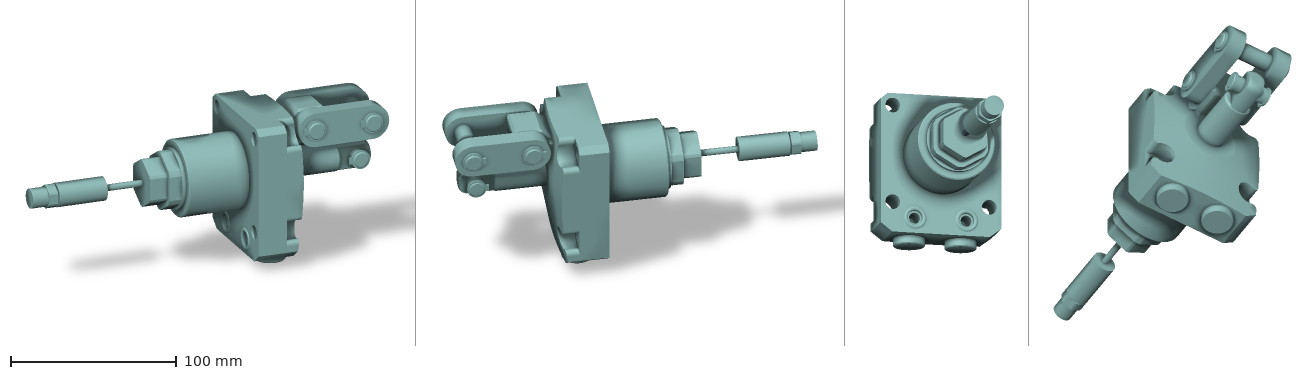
import cadquery as cq
import math


block_width = 75.0
half_width = block_width / 2
block_top = 37.5
block_bottom = -48.5
top_chamfer_x, top_chamfer_z = 4.3, 3.5
bottom_chamfer_x, bottom_chamfer_z = 7.2, 5.5
crown_y = 33.2
crown_radius = 18.0
crown_angle = 11.0

hole_pitch = 60.0
hole_radius = 4.5
pocket_floor_y = 18.5
pocket_radius = 7.2
pocket_mouth_radius = 3.0

port_x = 16.0
port_z = -39.0
seal_radius = 7.0
seal_height = 0.7
port_counterbore_radius = 4.5
port_counterbore_depth = 1.8
port_bore_radius = 3.4
port_depth = 15.8
plug_radius = 9.7
plug_bottom = -53.5
plug_chamfer = 0.7

barrel_radius = 24.0
barrel_end_y = -39.5
barrel_chamfer = 0.7

flange_radius = 19.2
flange_end_y = -42.0
large_hex_flats, large_hex_corner_radius, large_hex_end_y = 33.9, 18.5, -49.7
small_hex_flats, small_hex_corner_radius, small_hex_end_y = 27.0, 15.1, -61.2
cable_radius = 2.0
plug_body_radius, plug_body_y, plug_body_end_y = 7.5, -86.0, -117.1
neck_radius, neck_end_y = 4.7, -118.0
plug_hex_flats, plug_hex_corner_radius, plug_hex_end_y = 13.5, 7.5, -124.0
tip_radius, tip_end_y = 6.0, -134.0

link_pin_radius = 5.5
rod_pin_radius = 5.0
pin_chamfer = 0.7
link_pin_overhang = 2.7
rod_pin_overhang = 2.0
ring_thickness = 1.4
ring_rim = 1.0
ring_lug_rim = 2.5
ring_lug_width = 4.0

link_inner = 11.0
link_outer = 21.0
link_radius = 10.8
link_z = block_top - link_radius
link_front_y = 80.8
link_rear_y = 43.8

lug_half_width = 10.8
lug_front_y = 54.2
lug_bottom = 13.3
lug_chamfer = 1.5
lug_bottom_chamfer = 2.3
lug_root_radius = 2.0
lug_flare_radius = 4.3
link_clearance = 0.5
lug_slope_y = 37.2
lug_slope_end_y, lug_slope_end_z = 29.0, 29.3

rod_radius = 9.3
rod_bottom_y = 0.0
rod_shoulder_y = 65.0
rod_shoulder_chamfer = 1.1
tongue_radius = 8.8
tongue_thickness = 10.4
tongue_end_y = 86.2
tongue_end_fillet = 5.0
rod_pin_y = 76.7
rod_pin_seat = 11.0


def cylinder_y(radius, y_start, y_end, x=0, z=0):
    """Cylinder along Y between two Y positions."""
    plane = cq.Workplane("XZ", origin=(x, y_start, z))
    return plane.circle(radius).extrude(y_start - y_end)


def hexagon_y(across_flats, corner_radius, y_start, y_end):
    """Hexagonal prism along Y with flats at +X and -X and rounded-off corners."""
    across_corners = across_flats / math.cos(math.pi / 6)
    prism = (
        cq.Workplane("XZ", origin=(0, y_start, 0))
        .transformed(rotate=(0, 0, 90))
        .polygon(6, across_corners)
        .extrude(y_start - y_end)
    )
    return prism.intersect(cylinder_y(corner_radius, y_start, y_end))


def retained_pin(y, z, radius, seat, overhang):
    """Pin along X with a retaining ring outside each seat at x = -seat and x = +seat."""
    half_length = seat + overhang
    ring_lug_reach = radius + ring_lug_rim
    pin = (
        cq.Workplane("YZ", origin=(-half_length, y, z))
        .circle(radius)
        .extrude(2 * half_length)
        .faces("<X or >X")
        .chamfer(pin_chamfer)
    )
    for ring_start in (-seat - ring_thickness, seat):
        plane = cq.Workplane("YZ", origin=(ring_start, y, z))
        ring = plane.circle(radius + ring_rim).extrude(ring_thickness)
        ring_lug = (
            plane.center(-ring_lug_reach / 2, 0)
            .rect(ring_lug_reach, ring_lug_width)
            .extrude(ring_thickness)
        )
        pin = pin.union(ring).union(ring_lug)
    return pin


def block_body():
    """Chamfered block whose back is a flat crown falling away as a cone."""
    right_half = [
        (half_width - top_chamfer_x, block_top),
        (half_width, block_top - top_chamfer_z),
        (half_width, block_bottom + bottom_chamfer_z),
        (half_width - bottom_chamfer_x, block_bottom),
    ]
    left_half = [(-x, z) for x, z in reversed(right_half)]
    prism = cq.Workplane("XZ").polyline(right_half + left_half).close().extrude(-crown_y)
    cone_base_radius = crown_radius + crown_y / math.tan(math.radians(crown_angle))
    cone = (
        cq.Workplane("XY")
        .polyline([(0, 0), (cone_base_radius, 0), (crown_radius, crown_y), (0, crown_y)])
        .close()
        .revolve(360, (0, 0), (0, 1))
    )
    return prism.intersect(cone)


def pocket_opening(x, z, angle):
    """Round pocket around a hole that opens through one side with rounded mouth edges."""
    side = half_width - hole_pitch / 2
    mouth = math.sqrt((pocket_radius + pocket_mouth_radius) ** 2 - (side - pocket_mouth_radius) ** 2)
    share = pocket_radius / (pocket_radius + pocket_mouth_radius)
    joint_x = (side - pocket_mouth_radius) * share
    joint_y = mouth * share
    mid_angle = (math.atan2(joint_y - mouth, joint_x - side + pocket_mouth_radius)) / 2
    mid_x = side - pocket_mouth_radius + pocket_mouth_radius * math.cos(mid_angle)
    mid_y = mouth + pocket_mouth_radius * math.sin(mid_angle)
    return (
        cq.Workplane("XZ", origin=(x, pocket_floor_y, z))
        .transformed(rotate=(0, 0, angle))
        .moveTo(joint_x, joint_y)
        .threePointArc((mid_x, mid_y), (side, mouth))
        .lineTo(2 * side, mouth)
        .lineTo(2 * side, -mouth)
        .lineTo(side, -mouth)
        .threePointArc((mid_x, -mid_y), (joint_x, -joint_y))
        .threePointArc((-pocket_radius, 0), (joint_x, joint_y))
        .close()
        .extrude(pocket_floor_y - crown_y)
    )


def mounting_cuts():
    """Four through holes, each with a screw-head pocket open to the outside."""
    offset = hole_pitch / 2
    cuts = []
    for side in (-1, 1):
        outward = 0 if side > 0 else 180
        for level in (-1, 1):
            x, z = side * offset, level * offset
            cuts.append(cylinder_y(hole_radius, 0, crown_y, x, z))
            cuts.append(pocket_opening(x, z, outward))
        cuts.append(pocket_opening(side * offset, offset, 90))
        corner = cq.Workplane("XZ", origin=(side * offset, pocket_floor_y, offset))
        corner_block = corner.rect(side * offset, offset, centered=False).extrude(pocket_floor_y - crown_y)
        cuts.append(corner_block)
    return cuts


def lug_flare():
    """Concave flare at both sides of the lug, relieved for the turning link plates."""
    flare_half_width = lug_half_width + lug_flare_radius
    flare_top_y = crown_y + lug_flare_radius
    flare = (
        cq.Workplane("XY", origin=(0, 0, lug_bottom + lug_bottom_chamfer))
        .moveTo(-flare_half_width, pocket_floor_y)
        .lineTo(-flare_half_width, crown_y)
        .radiusArc((-lug_half_width, flare_top_y), -lug_flare_radius)
        .lineTo(lug_half_width, flare_top_y)
        .radiusArc((flare_half_width, crown_y), -lug_flare_radius)
        .lineTo(flare_half_width, pocket_floor_y)
        .close()
        .extrude(lug_slope_end_z - lug_bottom - lug_bottom_chamfer)
    )
    relief = (
        cq.Workplane("YZ", origin=(-link_outer, link_rear_y, link_z))
        .circle(link_radius + link_clearance)
        .extrude(2 * link_outer)
    )
    return flare.cut(relief)


def hinge_lug():
    """Chamfered lug between the link plates, sloping down into the block."""
    foot_y = pocket_floor_y
    lug = (
        cq.Workplane("YZ", origin=(-lug_half_width, 0, 0))
        .moveTo(foot_y, lug_bottom - lug_root_radius)
        .lineTo(crown_y, lug_bottom - lug_root_radius)
        .radiusArc((crown_y + lug_root_radius, lug_bottom), lug_root_radius)
        .lineTo(lug_front_y, lug_bottom)
        .lineTo(lug_front_y, block_top)
        .lineTo(lug_slope_y, block_top)
        .lineTo(lug_slope_end_y, lug_slope_end_z)
        .lineTo(foot_y, lug_slope_end_z)
        .close()
        .extrude(2 * lug_half_width)
        .faces(">Y")
        .chamfer(lug_chamfer)
    )
    long_top_edges = cq.selectors.BoxSelector(
        (-2 * lug_half_width, lug_slope_y + lug_chamfer, block_top - lug_chamfer / 2),
        (2 * lug_half_width, lug_front_y - 2 * lug_chamfer, block_top + lug_chamfer / 2),
    )
    lug = lug.edges(long_top_edges).edges("|Y").chamfer(lug_chamfer)
    long_bottom_edges = cq.selectors.BoxSelector(
        (-2 * lug_half_width, crown_y + lug_root_radius, lug_bottom - lug_root_radius / 2),
        (2 * lug_half_width, lug_front_y - 2 * lug_chamfer, lug_bottom + lug_chamfer / 2),
    )
    lug = lug.edges(long_bottom_edges).edges("|Y").chamfer(lug_bottom_chamfer).union(lug_flare())
    hinge_hole = (
        cq.Workplane("YZ", origin=(-lug_half_width, link_rear_y, link_z))
        .circle(link_pin_radius)
        .extrude(2 * lug_half_width)
    )
    return lug.cut(hinge_hole)


def port_seal(x):
    """Half-round seal bead around a port."""
    bead_width = seal_radius - port_counterbore_radius
    return (
        cq.Workplane("XY", origin=(x, 0, port_z))
        .moveTo(port_counterbore_radius, 0)
        .threePointArc((port_counterbore_radius + bead_width / 2, -seal_height), (seal_radius, 0))
        .close()
        .revolve(360, (0, 0), (0, 1))
    )


def screw_plug(x):
    """Round screw plug standing out of the bottom face."""
    return (
        cq.Workplane("XY", origin=(x, port_depth, plug_bottom))
        .circle(plug_radius)
        .extrude(block_bottom - plug_bottom)
        .faces("<Z")
        .chamfer(plug_chamfer)
    )


def make_housing():
    housing = block_body()
    for cut in mounting_cuts():
        housing = housing.cut(cut)
    barrel = cylinder_y(barrel_radius, 0, barrel_end_y).faces("<Y or >Y").chamfer(barrel_chamfer)
    housing = housing.union(barrel).union(hinge_lug())
    for x in (-port_x, port_x):
        housing = housing.union(port_seal(x)).union(screw_plug(x))
        housing = housing.cut(cylinder_y(port_counterbore_radius, 0, port_counterbore_depth, x, port_z))
        housing = housing.cut(cylinder_y(port_bore_radius, 0, port_depth, x, port_z))
    return housing.cut(cylinder_y(rod_radius, rod_bottom_y, crown_y))


def make_piston_rod():
    """Rod with a flattened tongue that carries a cross pin."""
    rod = cylinder_y(rod_radius, rod_bottom_y, rod_shoulder_y).faces(">Y").chamfer(rod_shoulder_chamfer)
    tongue = cylinder_y(tongue_radius, rod_bottom_y, tongue_end_y).faces(">Y").fillet(tongue_end_fillet)
    slab = cq.Workplane("XY").box(tongue_thickness, 2 * tongue_end_y, 2 * rod_radius)
    cross_pin = retained_pin(rod_pin_y, 0, rod_pin_radius, rod_pin_seat, rod_pin_overhang)
    return rod.union(tongue.intersect(slab)).union(cross_pin)


def make_clamp_link():
    """Two link plates joined by the front pin and the hinge pin."""
    front_pin, hinge_pin = (
        retained_pin(y, link_z, link_pin_radius, link_outer, link_pin_overhang)
        for y in (link_front_y, link_rear_y)
    )
    link = front_pin.union(hinge_pin)
    for plate_start in (-link_outer, link_inner):
        plate = (
            cq.Workplane("YZ", origin=(plate_start, (link_front_y + link_rear_y) / 2, link_z))
            .slot2D(link_front_y - link_rear_y + 2 * link_radius, 2 * link_radius)
            .extrude(link_outer - link_inner)
        )
        link = link.union(plate)
    return link


def make_position_sensor():
    """Flanged double hexagon with a cable and a connector."""
    return (
        cylinder_y(flange_radius, barrel_end_y, flange_end_y)
        .union(hexagon_y(large_hex_flats, large_hex_corner_radius, flange_end_y, large_hex_end_y))
        .union(hexagon_y(small_hex_flats, small_hex_corner_radius, large_hex_end_y, small_hex_end_y))
        .union(cylinder_y(cable_radius, small_hex_end_y, plug_body_y))
        .union(cylinder_y(plug_body_radius, plug_body_y, plug_body_end_y))
        .union(cylinder_y(neck_radius, plug_body_end_y, neck_end_y))
        .union(hexagon_y(plug_hex_flats, plug_hex_corner_radius, neck_end_y, plug_hex_end_y))
        .union(cylinder_y(tip_radius, plug_hex_end_y, tip_end_y))
    )


housing = make_housing()
piston_rod = make_piston_rod()
clamp_link = make_clamp_link()
position_sensor = make_position_sensor()

bodies = [housing, piston_rod, clamp_link, position_sensor]
result = cq.Compound.makeCompound([body.solids().val() for body in bodies])